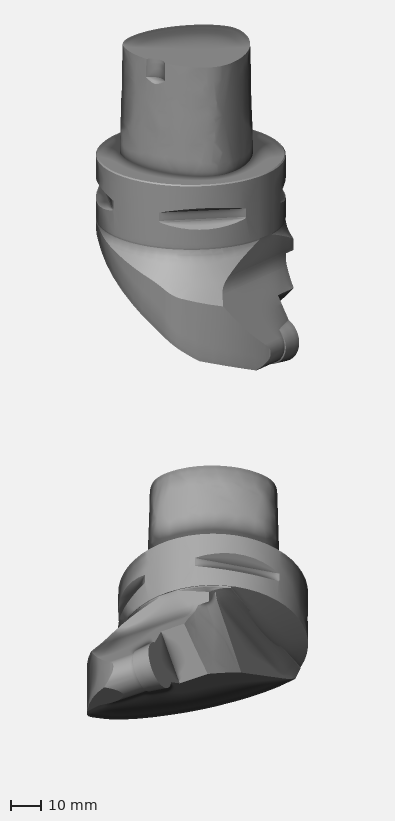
import cadquery as cq
import math


shank_height = 38.0
polygon_mean_radius = 22.1
polygon_lobe = 1.55
shank_taper = 1 / 20
polygon_points = 36

notch_radius = 4.7
notch_axis_y = -22.1
notch_straight_depth = 6.4
drill_point_angle = 118.0

flange_radius = 31.5
flange_thickness = 22.2
flange_chamfer = 0.4
underside_angle = 5.0
slot_flat_distance = 27.9
slot_floor_top_z = -10.25
slot_floor_bottom_z = -13.2
slot_lip_rise = 0.2
slot_lip_height = 0.55
slot_wall_angle = 30.0

insert_radius = 8.0
insert_thickness = 6.35
insert_relief_angle = 7.0
reach_x = 45.0
reach_z = -65.0
insert_x = reach_x - insert_radius
insert_z = reach_z + insert_radius

nose_radius = 6.7
front_angle = 60.0
front_wall_x = 31.1
front_fillet_radius = 9.0
bottom_angle = 31.65
bottom_edge_z = -21.35

skirt_angle = 50.0
skirt_start_z = -23.95
neck_radius = 31.3
neck_end_z = -22.8
hollow_end_radius = 33.0
skirt_outer_radius = 70.0

side_wall_y = 15.3
side_fillet_radius = 4.5
outline_back = (-19.6, -24.7)
outline_arc_start = (-17.0, -26.9)
outline_back_mid = (-5.1, -33.6)
outline_flat_start = (10.9, -36.4)
outline_flat_end = (17.0, -36.4)
outline_corner_mid = (20.5, -35.95)
outline_corner_end = (23.5, -34.8)
outline_front_mid = (34.4, -27.3)
outline_front_end = (43.4, -14.5)
outline_tip = (46.5, -9.0)

gullet_setback = 11.1
relief_start_y = -14.1
relief_angle = 17.5

clear = 100.0


def drop(angle, distance=1.0):
    """X and Z steps of a move forward and down at an angle below horizontal."""
    turn = math.radians(angle)
    return distance * math.cos(turn), -distance * math.sin(turn)


def bottom_z(x):
    return bottom_edge_z - (x + flange_radius) * math.tan(math.radians(bottom_angle))


front_normal_x, front_normal_z = -drop(front_angle)[1], drop(front_angle)[0]
front_tangent_x = insert_x + nose_radius * front_normal_x
front_tangent_z = insert_z + nose_radius * front_normal_z


def front_x(z):
    return front_tangent_x + (front_tangent_z - z) / math.tan(math.radians(front_angle))


def xz_prism(sketch_points, y_low, y_high):
    """Prism along Y over a polygon given in X and Z."""
    plane = cq.Workplane("XZ", origin=(0, y_high, 0))
    return plane.polyline(sketch_points).close().extrude(y_high - y_low)


def polygon_section(mean_radius):
    """Points of the three-lobed curve, from its support function."""
    points = []
    for i in range(polygon_points):
        angle = 2 * math.pi * i / polygon_points
        lobe_phase = 3 * (angle - math.pi / 2)
        support = mean_radius + polygon_lobe * math.cos(lobe_phase)
        slope = -3 * polygon_lobe * math.sin(lobe_phase)
        x = support * math.cos(angle) - slope * math.sin(angle)
        y = support * math.sin(angle) + slope * math.cos(angle)
        points.append((x, y))
    return points


def make_shank():
    tip_radius = polygon_mean_radius - shank_height * shank_taper / 2
    shank = (
        cq.Workplane("XY")
        .spline(polygon_section(polygon_mean_radius), periodic=True).close()
        .workplane(offset=shank_height)
        .spline(polygon_section(tip_radius), periodic=True).close()
        .loft(ruled=True)
    )
    wall_end_z = shank_height - notch_straight_depth
    point_depth = notch_radius / math.tan(math.radians(drill_point_angle / 2))
    notch = (
        cq.Workplane("XZ", origin=(0, notch_axis_y, 0))
        .moveTo(0, wall_end_z - point_depth)
        .lineTo(notch_radius, wall_end_z)
        .lineTo(notch_radius, shank_height + 1)
        .lineTo(0, shank_height + 1)
        .close()
        .revolve(360, (0, 0), (0, 1))
    )
    return shank.cut(notch)


def make_flange():
    underside_drop = flange_radius * math.tan(math.radians(underside_angle))
    flange = (
        cq.Workplane("XZ")
        .moveTo(0, 0)
        .lineTo(flange_radius - flange_chamfer, 0)
        .lineTo(flange_radius, -flange_chamfer)
        .lineTo(flange_radius, -flange_thickness)
        .lineTo(0, -flange_thickness - underside_drop)
        .close()
        .revolve(360, (0, 0), (0, 1))
    )
    mouth_distance = flange_radius + 1
    wall_slope = math.tan(math.radians(slot_wall_angle))
    lip_distance = slot_flat_distance + slot_lip_rise
    lip_z = slot_floor_bottom_z - slot_lip_height
    slot = xz_prism(
        [
            (slot_flat_distance, slot_floor_top_z),
            (slot_flat_distance, slot_floor_bottom_z),
            (lip_distance, lip_z),
            (mouth_distance, lip_z - (mouth_distance - lip_distance) * wall_slope),
            (mouth_distance, slot_floor_top_z + (mouth_distance - slot_flat_distance) * wall_slope),
        ],
        -flange_radius,
        flange_radius,
    )
    for i in range(4):
        flange = flange.cut(slot.rotate((0, 0, 0), (0, 0, 1), 45 + 90 * i))
    return flange


def make_side_profile():
    """Head between its front wall, front face, nose and bottom face, along Y."""
    nose_tip_x, nose_tip_z = drop(45, nose_radius)
    normal_x, normal_z = drop(bottom_angle)[1], -drop(bottom_angle)[0]
    start_offset = (-flange_radius - insert_x) * normal_x + (bottom_edge_z - insert_z) * normal_z
    half_chord = math.sqrt(nose_radius**2 - start_offset**2)
    back_x, back_z = drop(bottom_angle, -half_chord)
    bottom_end_x = insert_x + start_offset * normal_x + back_x
    bottom_end_z = insert_z + start_offset * normal_z + back_z

    wall_corner_z = front_tangent_z - (front_wall_x - front_tangent_x) * math.tan(math.radians(front_angle))
    fillet_length = front_fillet_radius * math.tan(math.radians(90 - front_angle) / 2)
    fillet_x, fillet_z = drop(front_angle, fillet_length)

    top_z = -flange_thickness + 2
    return (
        cq.Workplane("XZ", origin=(0, clear / 2, 0))
        .moveTo(-flange_radius, top_z)
        .lineTo(-flange_radius, bottom_edge_z)
        .lineTo(bottom_end_x, bottom_end_z)
        .threePointArc(
            (insert_x + nose_tip_x, insert_z + nose_tip_z),
            (front_tangent_x, front_tangent_z),
        )
        .lineTo(front_wall_x + fillet_x, wall_corner_z + fillet_z)
        .tangentArcPoint((front_wall_x, wall_corner_z + fillet_length), relative=False)
        .lineTo(front_wall_x, top_z)
        .close()
        .extrude(clear)
    )


def make_outline():
    """Head as bounded from above: a free curved flank on the -Y side."""
    return (
        cq.Workplane("XY", origin=(0, 0, -clear))
        .moveTo(*outline_back)
        .lineTo(*outline_arc_start)
        .threePointArc(outline_back_mid, outline_flat_start)
        .lineTo(*outline_flat_end)
        .threePointArc(outline_corner_mid, outline_corner_end)
        .threePointArc(outline_front_mid, outline_front_end)
        .lineTo(*outline_tip)
        .lineTo(outline_tip[0], flange_radius)
        .lineTo(0, flange_radius)
        .threePointArc((-flange_radius, 0), outline_back)
        .close()
        .extrude(clear)
    )


def make_skirt():
    """Everything below the cone that flares out from the flange."""
    cone_slope = math.tan(math.radians(skirt_angle))
    hollow_end_z = skirt_start_z - (hollow_end_radius - flange_radius) * cone_slope
    cone_end_z = skirt_start_z - (skirt_outer_radius - flange_radius) * cone_slope
    return (
        cq.Workplane("XZ")
        .moveTo(0, 0)
        .lineTo(0, -clear)
        .lineTo(skirt_outer_radius, -clear)
        .lineTo(skirt_outer_radius, cone_end_z)
        .lineTo(hollow_end_radius, hollow_end_z)
        .tangentArcPoint((neck_radius, neck_end_z), relative=False)
        .lineTo(neck_radius, 0)
        .close()
        .revolve(360, (0, 0), (0, 1))
    )


def make_side_wall():
    """Half space on the -Y side of the flat wall, flared into the flange underside."""
    flare_z = -flange_thickness - 0.8
    return (
        cq.Workplane("YZ", origin=(-clear / 2, 0, 0))
        .moveTo(-clear, 0)
        .lineTo(side_wall_y + side_fillet_radius, 0)
        .lineTo(side_wall_y + side_fillet_radius, flare_z)
        .radiusArc((side_wall_y, flare_z - side_fillet_radius), -side_fillet_radius)
        .lineTo(side_wall_y, -clear)
        .lineTo(-clear, -clear)
        .close()
        .extrude(clear)
    )


def make_side_blend():
    """Ruled cut that narrows the +Y wall toward the gullet.

    Its curve bulges outward on the bottom face and hollows inward on the front face.
    """
    bottom_points = [(8.0, 15.3), (18.0, 12.8), (24.8, 9.4)]
    front_points = [(15.3, -25.2), (10.6, -33.0), (8.6, -42.5)]
    overrun = 1.0
    bottom_curve = [cq.Vector(x, y, bottom_z(x) - overrun) for x, y in bottom_points]
    front_curve = [cq.Vector(front_x(z) + overrun, y, z) for y, z in front_points]

    def section(start, middle, end):
        outer_end = cq.Vector(end.x, flange_radius, end.z)
        outer_start = cq.Vector(start.x, flange_radius, start.z)
        return cq.Wire.assembleEdges([
            cq.Edge.makeThreePointArc(start, middle, end),
            cq.Edge.makeLine(end, outer_end),
            cq.Edge.makeLine(outer_end, outer_start),
            cq.Edge.makeLine(outer_start, start),
        ])

    sections = [section(*bottom_curve), section(*front_curve)]
    return cq.Workplane(cq.Solid.makeLoft(sections, True))


def make_gullet():
    """Chip space above the insert, with a wall square to the nose direction."""
    wall_x = insert_x + drop(45, -gullet_setback)[0]
    wall_z = insert_z + drop(45, -gullet_setback)[1]
    return (
        cq.Workplane("XY")
        .box(clear, clear, clear, centered=(False, False, True))
        .rotate((0, 0, 0), (0, 1, 0), 45)
        .translate((wall_x, 0, wall_z))
    )


def make_nose_relief():
    """Sloping cut under the nose, rising toward -Y."""
    nose_bottom_z = insert_z - nose_radius
    rise = clear * math.tan(math.radians(relief_angle))
    return (
        cq.Workplane("YZ")
        .moveTo(relief_start_y, nose_bottom_z)
        .lineTo(relief_start_y - clear, nose_bottom_z + rise)
        .lineTo(relief_start_y - clear, nose_bottom_z)
        .close()
        .extrude(clear)
    )


def make_insert():
    relief = insert_thickness * math.tan(math.radians(insert_relief_angle))
    return (
        cq.Workplane("XY")
        .lineTo(insert_radius, 0)
        .lineTo(insert_radius - relief, -insert_thickness)
        .lineTo(0, -insert_thickness)
        .close()
        .revolve(360, (0, 0), (0, 1))
        .translate((insert_x, 0, insert_z))
    )


def make_holder(insert):
    head = make_side_profile().intersect(make_outline())
    head = head.intersect(make_skirt()).intersect(make_side_wall())
    head = head.cut(make_side_blend()).cut(make_gullet()).cut(make_nose_relief())
    below_flange = xz_prism(
        [
            (-flange_radius - 1, bottom_z(-flange_radius - 1)),
            (0, bottom_z(0)),
            (-flange_radius - 1, bottom_z(0)),
        ],
        -clear / 2,
        clear / 2,
    )
    flange = make_flange().cut(below_flange)
    return make_shank().union(flange).union(head).cut(insert)


insert = make_insert()
holder = make_holder(insert)

result = cq.Compound.makeCompound([holder.val(), insert.val()])